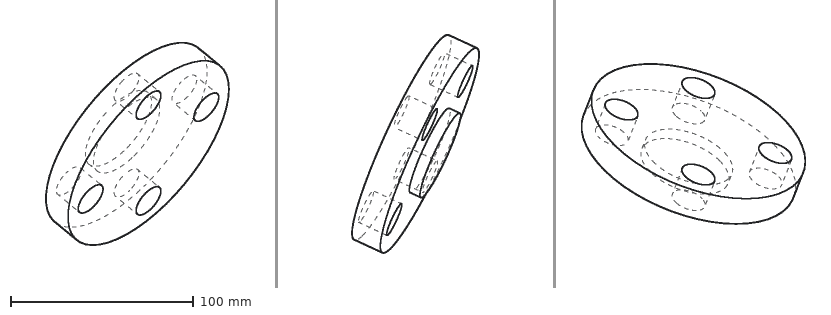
import cadquery as cq

flange_diameter = 123.8
total_thickness = 23.8
boss_height = 6.5
flange_thickness = total_thickness - boss_height
boss_diameter = 51.0

hole_count = 4
hole_diameter = 19.1
bolt_circle_diameter = 88.9

flange = cq.Workplane("YZ").circle(flange_diameter / 2).extrude(flange_thickness)

boss = cq.Workplane("YZ").circle(boss_diameter / 2).extrude(-boss_height)

bolt_holes = (
    cq.Workplane("YZ")
    .polarArray(bolt_circle_diameter / 2, 0, 360, hole_count)
    .circle(hole_diameter / 2)
    .extrude(flange_thickness)
)

result = flange.union(boss).cut(bolt_holes)